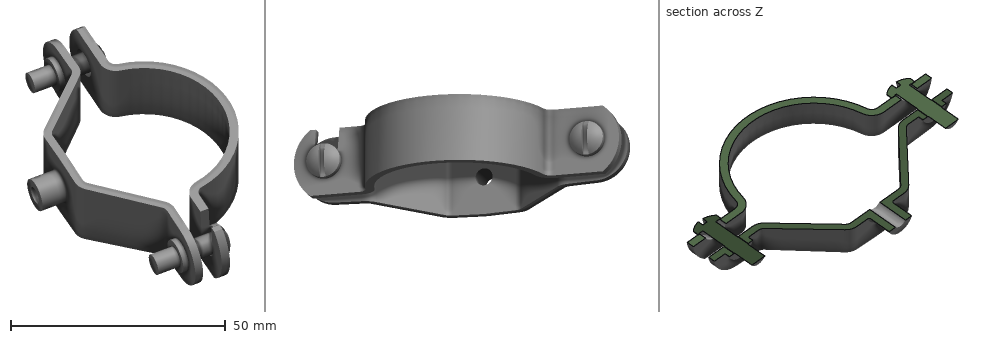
import cadquery as cq
import math


strap_length = 79.0
tip_x = strap_length / 2
bend_radius = 2.0
screw_spacing = 63.9
screw_x = screw_spacing / 2
screw_positions = (-screw_x, screw_x)
cutter_depth = 63.2

arch_thickness = 2.1
arch_bend_radius = bend_radius + arch_thickness / 2
arch_outer_radius = 22.05
arch_centre_radius = arch_outer_radius - arch_thickness / 2
arch_width = 15.95
arch_corner_x = 35.55
arch_ear_front_y = 0.4
arch_ear_centre_y = arch_ear_front_y + arch_thickness / 2
arch_ear_back_y = arch_ear_front_y + arch_thickness
pivot_hole_length = 7.2
pivot_hole_width = 6.4
swing_slot_width = 5.7
swing_slot_tilt = 5.0

base_thickness = 2.0
base_bend_radius = bend_radius + base_thickness / 2
ear_gap = 4.9
base_ear_back_y = arch_ear_front_y - ear_gap
base_ear_centre_y = base_ear_back_y - base_thickness / 2
base_ear_front_y = base_ear_back_y - base_thickness
base_depth = 15.4
base_plate_front_y = base_ear_front_y - base_depth
ear_corner_x = 23.6
plate_corner_x = 9.0
base_middle_width = 18.0
base_flat_length = 0.8
base_end_width = 15.8
collar_diameter = 8.2
collar_length = 1.4

boss_diameter = 8.0
boss_length = 6.55
boss_bore = 4.1
boss_fillet = 0.5

shank_diameter = 5.05
shank_overhang = 7.1
shank_end_y = base_ear_front_y - shank_overhang
head_diameter = 8.1
head_rim_height = 1.6
dome_height = 1.6
slot_width = 1.35
slot_depth = 1.65


def y_cylinder(x, start_y, end_y, diameter):
    """Cylinder along Y between two Y positions."""
    length = abs(end_y - start_y)
    plane = cq.Workplane("XZ", origin=(x, max(start_y, end_y), 0))
    return plane.circle(diameter / 2).extrude(length)


def sweep_strip(path, start_y, thickness, width):
    """Flat strip swept along a path that starts at the left tip."""
    section = cq.Workplane("YZ", origin=(-tip_x, start_y, 0)).rect(thickness, width)
    return section.sweep(path)


def make_arch_strip():
    """Bent strip: ear, bend, arch, bend, ear."""
    bend_y = arch_ear_centre_y + arch_bend_radius
    reach = arch_centre_radius + arch_bend_radius
    bend_x = math.sqrt(reach**2 - bend_y**2)
    join_x = bend_x * arch_centre_radius / reach
    join_y = bend_y * arch_centre_radius / reach
    path = (
        cq.Workplane("XY")
        .moveTo(-tip_x, arch_ear_centre_y)
        .lineTo(-bend_x, arch_ear_centre_y)
        .tangentArcPoint((-join_x, join_y), relative=False)
        .threePointArc((0, arch_centre_radius), (join_x, join_y))
        .tangentArcPoint((bend_x, arch_ear_centre_y), relative=False)
        .lineTo(tip_x, arch_ear_centre_y)
    )
    return sweep_strip(path, arch_ear_centre_y, arch_thickness, arch_width)


def make_arch_outline():
    """Front outline: constant width with rounded ends."""
    half_width = arch_width / 2
    return (
        cq.Workplane("XZ", origin=(0, cutter_depth / 2, 0))
        .moveTo(-arch_corner_x, half_width)
        .lineTo(arch_corner_x, half_width)
        .threePointArc((tip_x, 0), (arch_corner_x, -half_width))
        .lineTo(-arch_corner_x, -half_width)
        .threePointArc((-tip_x, 0), (-arch_corner_x, half_width))
        .close()
        .extrude(cutter_depth)
    )


def cut_pivot_hole(strap):
    """Oblong hole that leaves the left screw some play along the strap."""
    hole = (
        cq.Workplane("XZ", origin=(-screw_x, arch_ear_back_y, 0))
        .slot2D(pivot_hole_length, pivot_hole_width)
        .extrude(arch_thickness)
    )
    return strap.cut(hole)


def cut_swing_slot(strap):
    """Slot from the right screw to the upper edge, leaning towards the middle of the strap."""
    slot = (
        cq.Workplane("XY", origin=(screw_x, arch_ear_centre_y, 0))
        .rect(swing_slot_width, arch_thickness)
        .extrude(arch_width)
        .rotate((screw_x, 0, 0), (screw_x, 1, 0), -swing_slot_tilt)
    )
    round_end = y_cylinder(screw_x, arch_ear_front_y, arch_ear_back_y, swing_slot_width)
    return strap.cut(slot).cut(round_end)


def make_arch_strap():
    strap = make_arch_strip().intersect(make_arch_outline())
    return cut_swing_slot(cut_pivot_hole(strap))


def make_base_strip():
    """Bent strip: ear, slope, middle plate, slope, ear."""
    slope_angle = math.atan2(base_depth, ear_corner_x - plate_corner_x)
    setback = base_bend_radius * math.tan(slope_angle / 2)
    along_x = setback * math.cos(slope_angle)
    along_y = setback * math.sin(slope_angle)
    plate_y = base_ear_centre_y - base_depth
    path = (
        cq.Workplane("XY")
        .moveTo(-tip_x, base_ear_centre_y)
        .lineTo(-ear_corner_x - setback, base_ear_centre_y)
        .tangentArcPoint((-ear_corner_x + along_x, base_ear_centre_y - along_y), relative=False)
        .lineTo(-plate_corner_x - along_x, plate_y + along_y)
        .tangentArcPoint((-plate_corner_x + setback, plate_y), relative=False)
        .lineTo(plate_corner_x - setback, plate_y)
        .tangentArcPoint((plate_corner_x + along_x, plate_y + along_y), relative=False)
        .lineTo(ear_corner_x - along_x, base_ear_centre_y - along_y)
        .tangentArcPoint((ear_corner_x + setback, base_ear_centre_y), relative=False)
        .lineTo(tip_x, base_ear_centre_y)
    )
    return sweep_strip(path, base_ear_centre_y, base_thickness, base_middle_width)


def make_base_outline():
    """Front outline: widest in the middle, tapering to ears rounded about the screws."""
    half_middle = base_middle_width / 2
    half_flat = base_flat_length / 2
    half_end = base_end_width / 2
    return (
        cq.Workplane("XZ", origin=(0, cutter_depth / 2, 0))
        .moveTo(-screw_x, half_end)
        .lineTo(-half_flat, half_middle)
        .lineTo(half_flat, half_middle)
        .lineTo(screw_x, half_end)
        .threePointArc((tip_x, 0), (screw_x, -half_end))
        .lineTo(half_flat, -half_middle)
        .lineTo(-half_flat, -half_middle)
        .lineTo(-screw_x, -half_end)
        .threePointArc((-tip_x, 0), (-screw_x, half_end))
        .close()
        .extrude(cutter_depth)
    )


def add_boss(strap):
    """Threaded boss with a filleted root and a bore through the plate."""
    boss_end_y = base_plate_front_y - boss_length
    strap = strap.union(y_cylinder(0, base_plate_front_y, boss_end_y, boss_diameter))
    corner = cq.selectors.BoxSelector(
        (-boss_diameter, base_plate_front_y - boss_fillet, -boss_diameter),
        (boss_diameter, base_plate_front_y + boss_fillet, boss_diameter),
    )
    strap = strap.edges("%CIRCLE").edges(corner).fillet(boss_fillet)
    return strap.cut(y_cylinder(0, base_plate_front_y + base_thickness, boss_end_y, boss_bore))


def add_collar(strap, x):
    """Collar in front of an ear, with the screw hole through both."""
    collar_end_y = base_ear_front_y - collar_length
    strap = strap.union(y_cylinder(x, base_ear_front_y, collar_end_y, collar_diameter))
    return strap.cut(y_cylinder(x, base_ear_back_y, collar_end_y, shank_diameter))


def make_base_strap():
    strap = add_boss(make_base_strip().intersect(make_base_outline()))
    for x in screw_positions:
        strap = add_collar(strap, x)
    return strap


def make_screw(x):
    rim_y = arch_ear_back_y + head_rim_height
    top_y = rim_y + dome_height
    shank_radius = shank_diameter / 2
    head_radius = head_diameter / 2
    sphere_radius = (head_radius**2 + dome_height**2) / (2 * dome_height)
    arc_x = head_radius / 2
    arc_y = top_y - sphere_radius + math.sqrt(sphere_radius**2 - arc_x**2)
    screw = (
        cq.Workplane("XY")
        .moveTo(0, shank_end_y)
        .lineTo(shank_radius, shank_end_y)
        .lineTo(shank_radius, arch_ear_back_y)
        .lineTo(head_radius, arch_ear_back_y)
        .lineTo(head_radius, rim_y)
        .threePointArc((arc_x, arc_y), (0, top_y))
        .close()
        .revolve(360, (0, 0, 0), (0, 1, 0))
    )
    slot = cq.Workplane("XY").box(slot_width, 2 * slot_depth, head_diameter).translate((0, top_y, 0))
    return screw.cut(slot).translate((x, 0, 0))


arch_strap = make_arch_strap()
base_strap = make_base_strap()
screws = [make_screw(x) for x in screw_positions]

result = cq.Compound.makeCompound(
    [arch_strap.val(), base_strap.val(), *[screw.val() for screw in screws]]
)